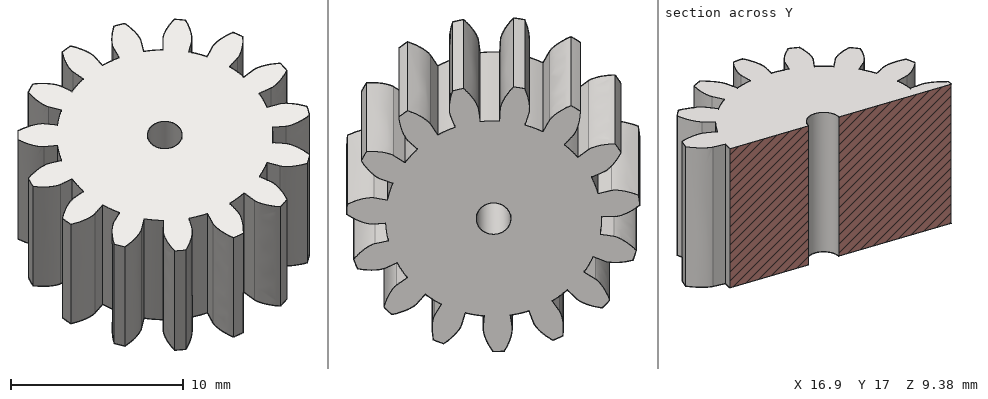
import cadquery as cq
import math

teeth = 15
pressure_angle = math.radians(20)
overall_width = 16.96
face_width = 9.38
bore_diameter = 2.0
addendum_modules = 1.0
dedendum_modules = 1.25
flank_intervals = 8

tooth_pitch = 2 * math.pi / teeth
pitch_modules = teeth / 2
tip_modules = pitch_modules + addendum_modules
base_modules = pitch_modules * math.cos(pressure_angle)
tip_roll = math.sqrt((tip_modules / base_modules) ** 2 - 1)
base_half_angle = tooth_pitch / 4 + math.tan(pressure_angle) - pressure_angle
tip_half_angle = base_half_angle - (tip_roll - math.atan(tip_roll))

y_tooth_angle = math.ceil(math.pi / 2 / tooth_pitch) * tooth_pitch
corner_angle = y_tooth_angle - tip_half_angle
tip_radius = overall_width / 2 / math.sin(corner_angle)

module = tip_radius / tip_modules
base_radius = module * base_modules
root_radius = module * (pitch_modules - dedendum_modules)


def polar(radius, angle):
    return (radius * math.cos(angle), radius * math.sin(angle))


def flank_points(tooth_angle, side):
    """Involute flank from the base circle to the tip; side is -1 (clockwise) or +1."""
    points = []
    for i in range(flank_intervals + 1):
        roll = tip_roll * i / flank_intervals
        radius = base_radius * math.hypot(1, roll)
        half_angle = base_half_angle - (roll - math.atan(roll))
        points.append(polar(radius, tooth_angle + side * half_angle))
    return points


def flank_tangents(tooth_angle, side):
    """Outward directions of a flank at the base circle and at the tip."""
    base_direction = tooth_angle + side * base_half_angle
    tip_direction = base_direction - side * tip_roll
    return polar(1, base_direction), polar(1, tip_direction)


def reversed_direction(direction):
    return (-direction[0], -direction[1])


def add_tooth(outline, tooth_angle):
    """Draw a tooth counterclockwise, then the root arc that leads to the next tooth."""
    rising_base, rising_tip = flank_tangents(tooth_angle, -1)
    falling_base, falling_tip = flank_tangents(tooth_angle, 1)
    rising = flank_points(tooth_angle, -1)
    falling = flank_points(tooth_angle, 1)[::-1]
    next_root_start = tooth_angle + tooth_pitch - base_half_angle

    outline = outline.lineTo(*rising[0])
    outline = outline.spline(rising[1:], tangents=[rising_base, rising_tip], includeCurrent=True)
    outline = outline.threePointArc(polar(tip_radius, tooth_angle), falling[0])
    outline = outline.spline(
        falling[1:],
        tangents=[reversed_direction(falling_tip), reversed_direction(falling_base)],
        includeCurrent=True,
    )
    outline = outline.lineTo(*polar(root_radius, tooth_angle + base_half_angle))
    return outline.threePointArc(
        polar(root_radius, tooth_angle + tooth_pitch / 2),
        polar(root_radius, next_root_start),
    )


def gear_blank():
    outline = cq.Workplane("XY").moveTo(*polar(root_radius, -base_half_angle))
    for i in range(teeth):
        outline = add_tooth(outline, i * tooth_pitch)
    return outline.close().extrude(face_width)


def bore():
    return cq.Workplane("XY").circle(bore_diameter / 2).extrude(face_width)


result = gear_blank().cut(bore())